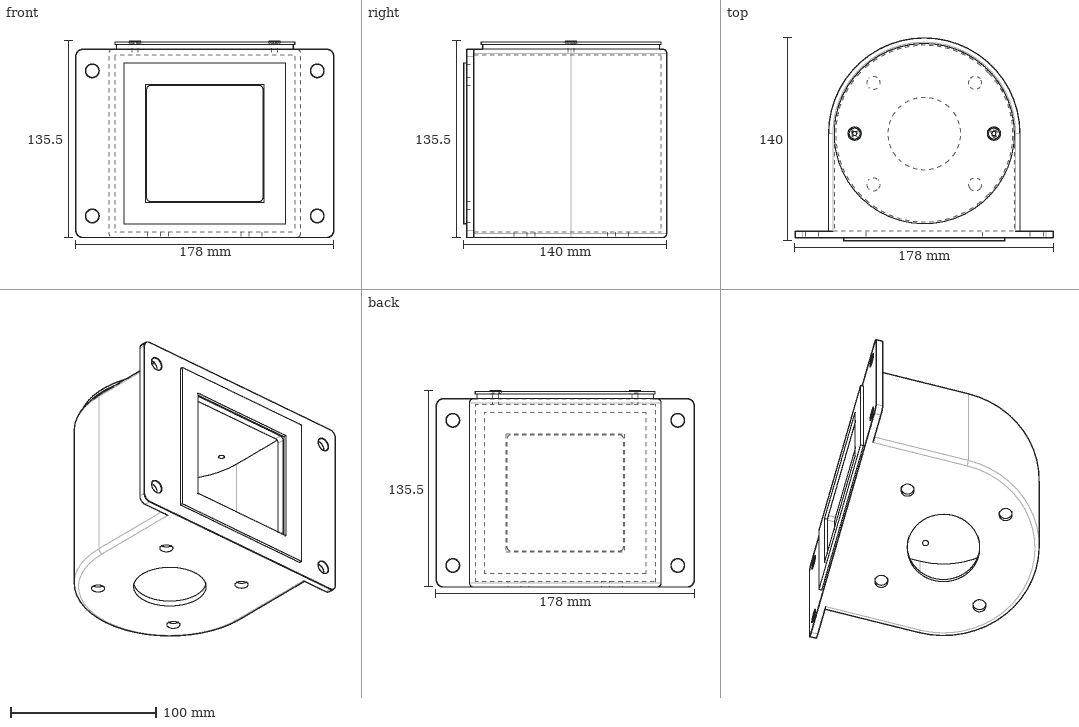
import cadquery as cq
import math

body_radius = 66.0
body_height = 130.0
body_edge_radius = 3.0
wall = 4.0

flange_width = 178.0
flange_thickness = 5.0
flange_corner_radius = 5.0
flange_front_y = -72.0
flange_edge_chamfer = 0.3
flange_back_y = flange_front_y + flange_thickness
mid_z = body_height / 2

flange_hole_diameter = 9.0
flange_hole_spacing_x = 155.0
flange_hole_spacing_z = 100.0

window_size = 80.0
window_corner_radius = 2.5

cavity_radius = body_radius - wall
floor_z = wall

cable_hole_diameter = 50.0
floor_hole_diameter = 9.0
floor_hole_spacing = 70.0

front_gasket_size = 111.0
front_gasket_window = 81.5
front_gasket_thickness = 2.0

lid_gasket_diameter = 122.0
lid_gasket_thickness = 3.0
lid_diameter = 124.2
lid_thickness = 2.0
lid_gasket_top_z = body_height + lid_gasket_thickness
lid_top_z = lid_gasket_top_z + lid_thickness

screw_spacing = 96.0
screw_diameter = 4.0
screw_head_diameter = 7.5
screw_head_rise = 0.51
screw_socket_across_flats = 2.7
screw_socket_depth = 1.5
countersink_diameter = 9.2
countersink_angle = 90.0
screw_tip_z = body_height - wall
screw_top_z = lid_top_z + screw_head_rise
screw_points = [(-screw_spacing / 2, 0), (screw_spacing / 2, 0)]


def d_prism(radius, front_y, bottom_z, height):
    """Upright prism with a half-round back and a straight front."""
    return (
        cq.Workplane("XY", origin=(0, 0, bottom_z))
        .moveTo(-radius, front_y)
        .lineTo(-radius, 0)
        .threePointArc((0, radius), (radius, 0))
        .lineTo(radius, front_y)
        .close()
        .extrude(height)
    )


def front_plate(width, height, thickness, back_y):
    """Rectangular plate centred on the window, its front facing -Y."""
    return (
        cq.Workplane("XZ", origin=(0, back_y, mid_z))
        .rect(width, height)
        .extrude(thickness)
    )


def screw_shanks():
    """Cylinders that clear the paths of both lid screws."""
    return (
        cq.Workplane("XY", origin=(0, 0, screw_tip_z))
        .pushPoints(screw_points)
        .circle(screw_diameter / 2)
        .extrude(screw_top_z - screw_tip_z)
    )


def make_flange():
    """Front mounting flange with chamfered outline and mounting holes."""
    flange = front_plate(flange_width, body_height, flange_thickness, flange_back_y)
    flange = flange.edges("|Y").fillet(flange_corner_radius)
    flange_holes = (
        cq.Workplane("XZ", origin=(0, flange_back_y, mid_z))
        .rect(flange_hole_spacing_x, flange_hole_spacing_z, forConstruction=True)
        .vertices()
        .circle(flange_hole_diameter / 2)
        .extrude(flange_thickness)
    )
    flange = flange.cut(flange_holes)
    return flange.faces("<Y or >Y").chamfer(flange_edge_chamfer)


def make_housing():
    """Hollow D-shaped body, its flange, front window and floor openings."""
    body = d_prism(body_radius, flange_front_y + flange_edge_chamfer, 0, body_height)
    body = body.faces("<Z or >Z").edges("not <Y").fillet(body_edge_radius)
    cavity = d_prism(cavity_radius, flange_back_y, floor_z, body_height - 2 * wall)
    window = front_plate(window_size, window_size, flange_thickness, flange_back_y)
    window = window.edges("|Y").fillet(window_corner_radius)
    floor_holes = (
        cq.Workplane("XY")
        .rect(floor_hole_spacing, floor_hole_spacing, forConstruction=True)
        .vertices()
        .circle(floor_hole_diameter / 2)
        .extrude(floor_z)
    )
    cable_hole = cq.Workplane("XY").circle(cable_hole_diameter / 2).extrude(floor_z)
    housing = body.union(make_flange()).cut(cavity).cut(window)
    return housing.cut(floor_holes).cut(cable_hole).cut(screw_shanks())


def make_front_gasket():
    """Square frame on the flange face around the window."""
    frame = front_plate(front_gasket_size, front_gasket_size, front_gasket_thickness, flange_front_y)
    opening = front_plate(front_gasket_window, front_gasket_window, front_gasket_thickness, flange_front_y)
    return frame.cut(opening)


def make_lid_gasket():
    """Disc between roof and lid, pierced by the screws."""
    disc = cq.Workplane("XY", origin=(0, 0, body_height)).circle(lid_gasket_diameter / 2)
    return disc.extrude(lid_gasket_thickness).cut(screw_shanks())


def make_lid():
    """Round lid with a countersunk hole for each screw."""
    return (
        cq.Workplane("XY", origin=(0, 0, lid_gasket_top_z))
        .circle(lid_diameter / 2)
        .extrude(lid_thickness)
        .faces(">Z")
        .workplane()
        .pushPoints(screw_points)
        .cskHole(screw_diameter, countersink_diameter, countersink_angle)
    )


def make_screw(point):
    """Countersunk screw with a hexagon socket, its head standing slightly above the lid."""
    head_radius = screw_head_diameter / 2
    shank_radius = screw_diameter / 2
    head_bottom_z = screw_top_z - (head_radius - shank_radius)
    profile = (
        cq.Workplane("XZ")
        .moveTo(0, screw_tip_z)
        .lineTo(shank_radius, screw_tip_z)
        .lineTo(shank_radius, head_bottom_z)
        .lineTo(head_radius, screw_top_z)
        .lineTo(0, screw_top_z)
        .close()
    )
    screw = profile.revolve(360, (0, 0, 0), (0, 1, 0))
    across_corners = screw_socket_across_flats / math.cos(math.pi / 6)
    socket = (
        cq.Workplane("XY", origin=(0, 0, screw_top_z))
        .polygon(6, across_corners)
        .extrude(-screw_socket_depth)
    )
    return screw.cut(socket).translate((*point, 0))


housing = make_housing()
front_gasket = make_front_gasket()
lid_gasket = make_lid_gasket()
lid = make_lid()
screws = [make_screw(point) for point in screw_points]

result = cq.Compound.makeCompound(
    [
        housing.val(),
        front_gasket.val(),
        lid_gasket.val(),
        lid.val(),
        *[screw.val() for screw in screws],
    ]
)